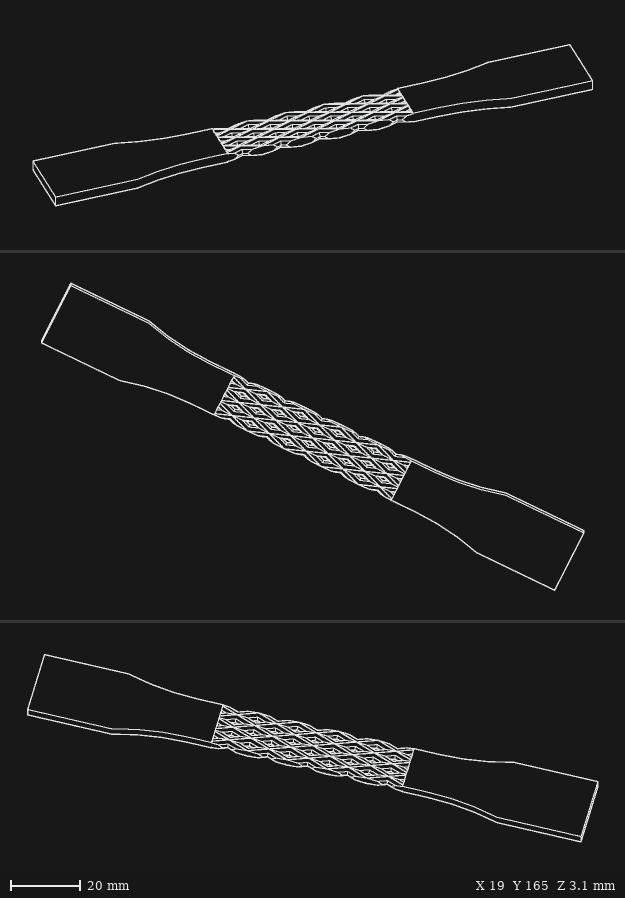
import cadquery as cq
import math

length = 165.0
grip_width = 19.0
neck_width = 13.0
thickness = 3.1

neck_half_length = 36.1
grip_start = 57.5
shoulder_flats = 3

lattice_length = 57.0
pocket_columns = 3
pocket_pitch_x = neck_width / pocket_columns
pocket_pitch_y = 11.9
strut_radius = 1.58
strut_sides = 8
strut_distance = pocket_pitch_x * pocket_pitch_y / 2 / math.hypot(pocket_pitch_x, pocket_pitch_y)


def shoulder_points():
    """Points along the +X, +Y shoulder, from neck to grip."""
    rise = (grip_width - neck_width) / 2
    run = grip_start - neck_half_length
    arc_radius = (run**2 + rise**2) / (2 * rise)
    points = []
    for i in range(shoulder_flats + 1):
        along = run * i / shoulder_flats
        outward = arc_radius - math.sqrt(arc_radius**2 - along**2)
        points.append((neck_width / 2 + outward, neck_half_length + along))
    return points


def make_bar():
    """The solid bar before its lattice is opened."""
    upper_right = shoulder_points() + [(grip_width / 2, length / 2)]
    upper_left = [(-x, y) for x, y in reversed(upper_right)]
    lower_left = [(-x, -y) for x, y in upper_right]
    lower_right = [(x, -y) for x, y in reversed(upper_right)]
    outline = upper_right + upper_left + lower_left + lower_right
    return cq.Workplane("XY").polyline(outline).close().extrude(thickness / 2, both=True)


def diamond(workplane, reach):
    """The diamond left between four struts that each reach this far from their axis."""
    scale = 1 - reach / strut_distance
    half_x = scale * pocket_pitch_x / 2
    half_y = scale * pocket_pitch_y / 2
    return workplane.polyline([(half_x, 0), (0, half_y), (-half_x, 0), (0, -half_y)]).close()


def pocket_stage(lower_corner, upper_corner):
    """The part of a pocket beside one facet of the struts; corners are (reach, height)."""
    lower_reach, lower_height = lower_corner
    upper_reach, upper_height = upper_corner
    base = diamond(cq.Workplane("XY").workplane(offset=lower_height), lower_reach)
    return diamond(base.workplane(offset=upper_height - lower_height), upper_reach).loft(ruled=True)


def make_pocket():
    """A diamond pocket, narrowest at mid thickness and widest at the strut ridges."""
    corners = []
    for i in range(strut_sides // 4 + 1):
        angle = 2 * math.pi * i / strut_sides
        corners.append((strut_radius * math.cos(angle), strut_radius * math.sin(angle)))
    upper_half = pocket_stage(corners[0], corners[1]).union(pocket_stage(corners[1], corners[2]))
    return upper_half.union(upper_half.mirror("XY")).val()


def pocket_centres():
    """Staggered rows half a pitch apart; the row at mid length straddles the centreline."""
    last_row = math.ceil(lattice_length / pocket_pitch_y)
    centres = []
    for row in range(-last_row, last_row + 1):
        count = pocket_columns + 1 if row % 2 == 0 else pocket_columns
        for column in range(count):
            x = (column - (count - 1) / 2) * pocket_pitch_x
            centres.append((x, row * pocket_pitch_y / 2))
    return centres


def make_lattice(block):
    """The block with every pocket cut through it."""
    pocket = make_pocket()
    pockets = [pocket.moved(cq.Location(cq.Vector(x, y, 0))) for x, y in pocket_centres()]
    return cq.Workplane(block.val().cut(*pockets))


bar = make_bar()
lattice_block = cq.Workplane("XY").box(neck_width, lattice_length, thickness)
result = bar.cut(lattice_block).union(make_lattice(lattice_block)).solids()